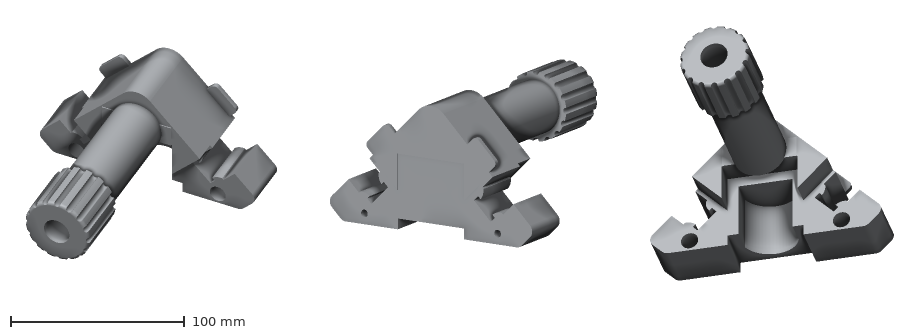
import cadquery as cq
import math

TOTAL_LENGTH = 150.0
BRACKET_HEIGHT = 76.4

BASE_SETBACK = 0.2
BASE_DEPTH = 30.2
BLOCK_DEPTH = 44.0
KNOB_LENGTH = 35.4

RIDGE_RADIUS = 12.0
RIDGE_RISE = RIDGE_RADIUS * (math.sqrt(2) - 1)
APEX_HEIGHT = BRACKET_HEIGHT + RIDGE_RISE
FOOT_CORNER_X = 60.0
FOOT_RADIUS = 5.0
CHANNEL_HALF_WIDTH = 22.5
BOTTOM_CHANNEL_HEIGHT = 6.5

SLOT_DEPTH = 19.8
SLOT_MOUTH_HALF_WIDTH = 10.0
SLOT_FLOOR_HALF_WIDTH = 8.0
SLOT_AXIS_DROP = 16.4
RIB_INNER = 3.9
RIB_MIDDLE = 6.8
RIB_OUTER = 9.8
RIB_INNER_GAP = 5.7
RIB_MIDDLE_GAP = 6.5
RIB_OUTER_GAP = 8.8

BLOCK_HALF_WIDTH = 40.2
OVERHANG_HEIGHT = 45.0

RECESS_HALF_WIDTH = 16.0
RECESS_WALL_LENGTH = 14.5
RECESS_DEPTH = 25.8
RECESS_TOP = 39.0

SCREW_X = 45.2
SCREW_HEIGHT = 6.5
SCREW_RADIUS = 2.2
COUNTERBORE_RADIUS = 5.1
COUNTERBORE_DEPTH = 18.0

TAB_THICKNESS = 3.0
TAB_PROJECTION = 8.0
TAB_UPPER_X = 24.6
TAB_LOWER_X = 39.3
TAB_UPPER_RADIUS = 2.8
TAB_LOWER_RADIUS = 2.8

AXIS_HEIGHT = 51.5
BARREL_RADIUS = 16.0
FLANGE_HALF_WIDTH = 22.0
FLANGE_TOP = 57.9
FLANGE_PROTRUSION = 0.6
KNOB_RADIUS = 20.5
KNOB_RIM_RADIUS = 2.1
KNOB_BORE_RADIUS = 8.1
FLUTE_COUNT = 16
FLUTE_RADIUS = 2.0


def plane_at(depth):
    """Sketch plane parallel to XZ, at a depth in front of the rear plane; extrudes toward -Y."""
    return cq.Workplane("XZ", origin=(0, -depth, 0))


def mirrored(half):
    """Join the +X half of a symmetric body to its mirror image."""
    return half.union(half.mirror("YZ"))


def slot_point(above_floor, offset):
    """Point in XZ: distance above the slot floor, and offset from the slot axis (positive upward)."""
    roof_sum = APEX_HEIGHT - math.sqrt(2) * (SLOT_DEPTH - above_floor)
    roof_difference = SLOT_AXIS_DROP - math.sqrt(2) * offset
    return (roof_sum + roof_difference) / 2, (roof_sum - roof_difference) / 2


def add_slot_jaw(sketch, side):
    """Draw one jaw of the rail slot from the slot floor outward; side is +1 for upper, -1 for lower."""
    return (
        sketch.lineTo(*slot_point(0, side * SLOT_FLOOR_HALF_WIDTH))
        .lineTo(*slot_point(RIB_INNER, side * SLOT_FLOOR_HALF_WIDTH))
        .lineTo(*slot_point(RIB_INNER, side * RIB_INNER_GAP))
        .threePointArc(
            slot_point(RIB_MIDDLE, side * RIB_MIDDLE_GAP),
            slot_point(RIB_OUTER, side * RIB_OUTER_GAP),
        )
        .lineTo(*slot_point(RIB_OUTER, side * SLOT_MOUTH_HALF_WIDTH))
        .lineTo(*slot_point(SLOT_DEPTH, side * SLOT_MOUTH_HALF_WIDTH))
    )


def make_slot():
    """Rail slot of the +X side, cut through the full depth of the base."""
    floor_center = slot_point(0, 0)
    mouth_center = slot_point(SLOT_DEPTH, 0)
    slot = cq.Workplane("XZ")
    for side in (1, -1):
        outline = add_slot_jaw(plane_at(0).moveTo(*floor_center), side).lineTo(*mouth_center).close()
        slot = slot.add(outline.extrude(BASE_DEPTH))
    return slot.combine()


def make_base_half():
    """+X half of the base: sloping side, foot and rail slot."""
    foot_tip_x = (APEX_HEIGHT + FOOT_CORNER_X) / 2
    foot_tip = (foot_tip_x, APEX_HEIGHT - foot_tip_x)
    outline = [
        (0, BOTTOM_CHANNEL_HEIGHT),
        (CHANNEL_HALF_WIDTH, BOTTOM_CHANNEL_HEIGHT),
        (CHANNEL_HALF_WIDTH, 0),
        (FOOT_CORNER_X, 0),
        foot_tip,
        (0, APEX_HEIGHT),
    ]
    base = plane_at(BASE_SETBACK).polyline(outline).close().extrude(BASE_DEPTH - BASE_SETBACK)
    for x, z in (foot_tip, (FOOT_CORNER_X, 0)):
        corner = cq.selectors.NearestToPointSelector((x, -BASE_DEPTH / 2, z))
        base = base.edges(corner).fillet(FOOT_RADIUS)
    return base.cut(make_slot())


def make_block_half():
    """+X half of the roof block: roof slope, side cheek and raised underside."""
    tip_height = APEX_HEIGHT - BLOCK_HALF_WIDTH
    cheek_bottom = tip_height - (BLOCK_HALF_WIDTH - CHANNEL_HALF_WIDTH)
    outline = [
        (0, OVERHANG_HEIGHT),
        (CHANNEL_HALF_WIDTH, OVERHANG_HEIGHT),
        (CHANNEL_HALF_WIDTH, cheek_bottom),
        (BLOCK_HALF_WIDTH, tip_height),
        (0, APEX_HEIGHT),
    ]
    return plane_at(0).polyline(outline).close().extrude(BLOCK_DEPTH)


def make_tab():
    """Rounded tab standing square on the +X roof slope at the rear."""
    rise = TAB_PROJECTION / math.sqrt(2)
    upper_root = (TAB_UPPER_X, APEX_HEIGHT - TAB_UPPER_X)
    lower_root = (TAB_LOWER_X, APEX_HEIGHT - TAB_LOWER_X)
    upper_corner = (upper_root[0] + rise, upper_root[1] + rise)
    lower_corner = (lower_root[0] + rise, lower_root[1] + rise)
    outline = [upper_root, upper_corner, lower_corner, lower_root]
    tab = plane_at(0).polyline(outline).close().extrude(TAB_THICKNESS)
    for (x, z), radius in ((upper_corner, TAB_UPPER_RADIUS), (lower_corner, TAB_LOWER_RADIUS)):
        corner = cq.selectors.NearestToPointSelector((x, -TAB_THICKNESS / 2, z))
        tab = tab.edges(corner).fillet(radius)
    return tab


def make_recess():
    """Vertical recess, open at the front and bottom of the base."""
    front = -BASE_DEPTH
    wall_end = front + RECESS_WALL_LENGTH
    return (
        cq.Workplane("XY", origin=(0, 0, BOTTOM_CHANNEL_HEIGHT))
        .moveTo(-RECESS_HALF_WIDTH, front)
        .lineTo(-RECESS_HALF_WIDTH, wall_end)
        .threePointArc((0, front + RECESS_DEPTH), (RECESS_HALF_WIDTH, wall_end))
        .lineTo(RECESS_HALF_WIDTH, front)
        .close()
        .extrude(RECESS_TOP - BOTTOM_CHANNEL_HEIGHT)
    )


def make_screw_holes():
    """Counterbored through holes, one in each foot."""
    centers = [(-SCREW_X, SCREW_HEIGHT), (SCREW_X, SCREW_HEIGHT)]
    holes = plane_at(0).pushPoints(centers).circle(SCREW_RADIUS).extrude(BASE_DEPTH)
    counterbores = (
        plane_at(BASE_DEPTH - COUNTERBORE_DEPTH)
        .pushPoints(centers)
        .circle(COUNTERBORE_RADIUS)
        .extrude(COUNTERBORE_DEPTH)
    )
    return holes.union(counterbores)


def make_flange():
    """Rectangular flange at the rear end of the barrel, seated against the front of the base."""
    return (
        plane_at(BASE_DEPTH)
        .center(0, (OVERHANG_HEIGHT + FLANGE_TOP) / 2)
        .rect(2 * FLANGE_HALF_WIDTH, FLANGE_TOP - OVERHANG_HEIGHT)
        .extrude(BLOCK_DEPTH + FLANGE_PROTRUSION - BASE_DEPTH)
    )


def make_bracket():
    """Roof-shaped bracket with two slotted feet, tabs and a seat for the barrel flange."""
    body = mirrored(make_base_half().union(make_block_half()))
    body = body.clean().edges("|Y").edges(">Z").fillet(RIDGE_RADIUS)
    body = body.union(mirrored(make_tab()))
    return body.cut(make_recess()).cut(make_screw_holes()).cut(make_flange())


def make_barrel():
    """Round barrel with its rear flange."""
    barrel_length = TOTAL_LENGTH - KNOB_LENGTH - BLOCK_DEPTH
    shaft = plane_at(BLOCK_DEPTH).center(0, AXIS_HEIGHT).circle(BARREL_RADIUS).extrude(barrel_length)
    return shaft.union(make_flange())


def make_knob():
    """Fluted knob with a central bore and a rounded front rim."""
    start = TOTAL_LENGTH - KNOB_LENGTH
    knob = plane_at(start).center(0, AXIS_HEIGHT).circle(KNOB_RADIUS).extrude(KNOB_LENGTH)
    knob = knob.faces("<Y").edges().fillet(KNOB_RIM_RADIUS)
    bore = plane_at(start).center(0, AXIS_HEIGHT).circle(KNOB_BORE_RADIUS).extrude(KNOB_LENGTH)
    flutes = (
        plane_at(start)
        .center(0, AXIS_HEIGHT)
        .polarArray(KNOB_RADIUS, 90, 360, FLUTE_COUNT)
        .circle(FLUTE_RADIUS)
        .extrude(KNOB_LENGTH)
    )
    return knob.cut(bore).cut(flutes)


bracket = make_bracket()
barrel = make_barrel()
knob = make_knob()

result = cq.Compound.makeCompound([bracket.val(), barrel.val(), knob.val()])